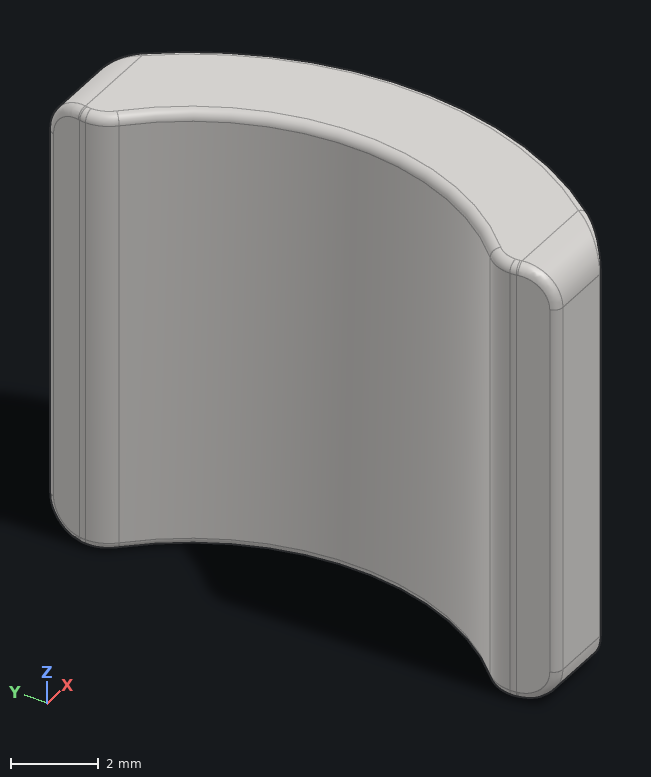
import cadquery as cq
import math

length = 13.76
height = 12.0
depth = 5.0
outer_radius = 9.6
inner_radius = 7.0
lip_radius = 1.0
corner_radius = 1.0
edge_radius = 0.25
end_slope = math.radians(11)

half_length = length / 2
front_x = outer_radius - depth
lip_x = front_x + lip_radius
lip_reach = inner_radius + lip_radius
lip_y = math.sqrt(lip_reach**2 - lip_x**2)
lip_angle = math.atan2(lip_y, lip_x)


def lip_point(angle):
    """Point on the lip circle, angle measured from -X towards +Y."""
    return (lip_x - lip_radius * math.cos(angle), lip_y + lip_radius * math.sin(angle))


def mirrored(point):
    return (point[0], -point[1])


lip_start = lip_point(-lip_angle)
lip_middle = lip_point(-lip_angle / 2)
lip_tip = lip_point(0)

slope_y = half_length - corner_radius
turn_radius = (slope_y - lip_y) / math.sin(end_slope)


def turn_point(angle):
    """Point on the arc between lip and slope, angle measured from the lip tip."""
    return (
        front_x + turn_radius * (1 - math.cos(angle)),
        lip_y + turn_radius * math.sin(angle),
    )


slope_middle = turn_point(end_slope / 2)
slope_start = turn_point(end_slope)
slope_end = (slope_start[0] + (half_length - slope_start[1]) * math.tan(end_slope), half_length)
back_end = (math.sqrt(outer_radius**2 - half_length**2), half_length)

body = (
    cq.Workplane("XY")
    .workplane(offset=-height / 2)
    .moveTo(*back_end)
    .lineTo(*slope_end)
    .lineTo(*slope_start)
    .threePointArc(slope_middle, lip_tip)
    .threePointArc(lip_middle, lip_start)
    .threePointArc((inner_radius, 0), mirrored(lip_start))
    .threePointArc(mirrored(lip_middle), mirrored(lip_tip))
    .threePointArc(mirrored(slope_middle), mirrored(slope_start))
    .lineTo(*mirrored(slope_end))
    .lineTo(*mirrored(back_end))
    .threePointArc((outer_radius, 0), back_end)
    .close()
    .extrude(height)
)

body = body.edges("|X").fillet(corner_radius)

body = body.faces(">X").edges().fillet(edge_radius)
front_edge = cq.selectors.NearestToPointSelector((inner_radius, 0, height / 2))
result = body.edges(front_edge).fillet(edge_radius)